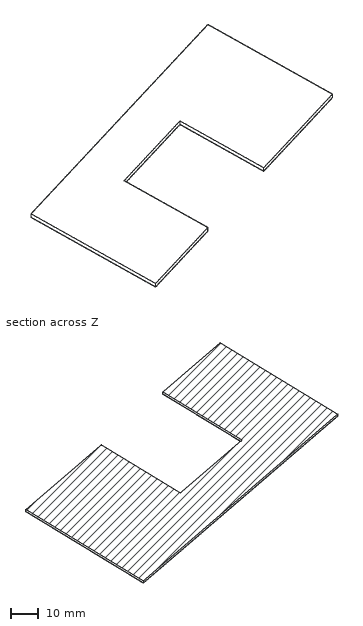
import cadquery as cq

width = 55.0
length = 108.0
thickness = 2.0

spine_width = 18.0
lower_arm = 32.0
notch_length = 34.0
notch_depth = width - spine_width

plate = cq.Workplane("XY").box(width, length, thickness, centered=False)
notch = (
    cq.Workplane("XY")
    .box(notch_depth, notch_length, thickness, centered=False)
    .translate((spine_width, lower_arm, 0))
)

result = plate.cut(notch)